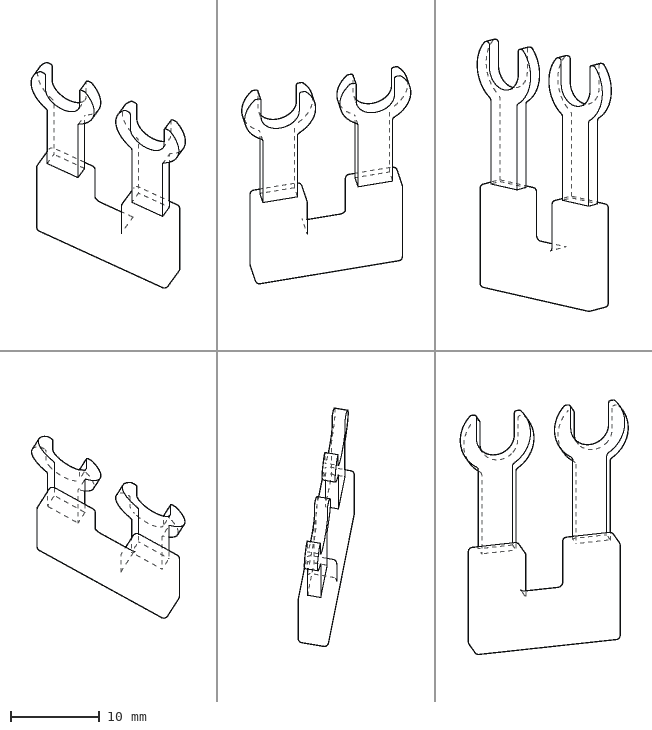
import cadquery as cq

HOUSING_WIDTH = 17.0
HOUSING_DEPTH = 3.5
HOUSING_HEIGHT = 12.0
NOTCH_WIDTH = 5.0
NOTCH_FLOOR = 6.0
EDGE_RADIUS = 0.5

OVERALL_HEIGHT = 28.4
OVERALL_WIDTH = 19.2
HEAD_DIAMETER = 8.2
HEAD_RADIUS = HEAD_DIAMETER / 2
FORK_PITCH = OVERALL_WIDTH - HEAD_DIAMETER
FORK_THICKNESS = 1.5
SHANK_WIDTH = 4.0
JAW_WIDTH = 4.4
JAW_RADIUS = JAW_WIDTH / 2
HEAD_CENTER_Z = 25.47
TIP_RADIUS = 0.3
NECK_RADIUS = 0.4


def centered_box(width, depth, bottom, top):
    """Box centred on X and Y between two heights."""
    return (
        cq.Workplane("XY", origin=(0, 0, bottom))
        .rect(width, depth)
        .extrude(top - bottom)
    )


def cylinder_along_y(radius, depth):
    """Cylinder around the head centre, centred on Y."""
    return (
        cq.Workplane("XZ", origin=(0, depth / 2, HEAD_CENTER_Z))
        .circle(radius)
        .extrude(depth)
    )


def make_housing():
    """U-shaped block with every edge rounded, inside corners included."""
    block = centered_box(HOUSING_WIDTH, HOUSING_DEPTH, 0, HOUSING_HEIGHT)
    notch = centered_box(NOTCH_WIDTH, HOUSING_DEPTH, NOTCH_FLOOR, HOUSING_HEIGHT)
    rounded_outline = block.cut(notch).edges("|Y").fillet(EDGE_RADIUS)
    return rounded_outline.faces("<Y or >Y").edges().fillet(EDGE_RADIUS)


def make_fork():
    """Shank with a round head, standing on top of the housing at X = 0."""
    head = cylinder_along_y(HEAD_RADIUS, FORK_THICKNESS)
    shank = centered_box(SHANK_WIDTH, FORK_THICKNESS, HOUSING_HEIGHT, HEAD_CENTER_Z)
    fork = head.union(shank)

    neck_zone = cq.selectors.BoxSelector(
        (-HEAD_RADIUS, -FORK_THICKNESS, HOUSING_HEIGHT + SHANK_WIDTH),
        (HEAD_RADIUS, FORK_THICKNESS, HEAD_CENTER_Z - JAW_RADIUS),
    )
    fork = fork.edges("|Y").edges(neck_zone).fillet(NECK_RADIUS)

    jaw_bottom = cylinder_along_y(JAW_RADIUS, FORK_THICKNESS)
    head_top = HEAD_CENTER_Z + HEAD_RADIUS
    jaw_opening = centered_box(JAW_WIDTH, FORK_THICKNESS, HEAD_CENTER_Z, head_top)
    above_tips = centered_box(HEAD_DIAMETER, FORK_THICKNESS, OVERALL_HEIGHT, head_top)
    fork = fork.cut(jaw_bottom).cut(jaw_opening).cut(above_tips)

    return fork.faces(">Z").edges("|Y").fillet(TIP_RADIUS)


housing = make_housing()
fork = make_fork()
forks = [fork.translate((side * FORK_PITCH / 2, 0, 0)) for side in (-1, 1)]

result = cq.Compound.makeCompound([housing.val(), *[copy.val() for copy in forks]])